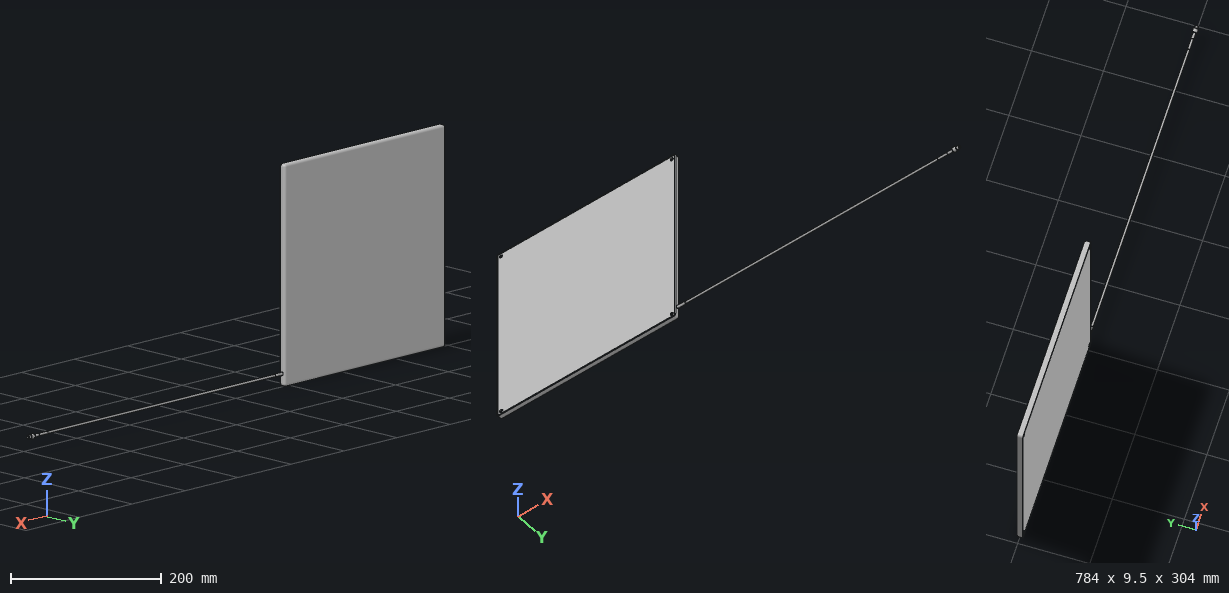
import cadquery as cq

total_length = 784.0
total_depth = 9.5
panel_side = 304.0
collar_overhang = 0.4
panel_thickness = total_depth - collar_overhang

corner_radius = 4.0
back_edge_radius = 3.85
rim_width = 1.95
rim_height = 0.2
screw_hole_inset = 7.0
screw_hole_diameter = 5.0
screw_hole_depth = 2.0

cable_underside = 16.0
cable_diameter = 4.0
cable_embed = 4.0
grommet_diameter = 5.0
grommet_length = 14.0

sleeve_diameter = 4.1
sleeve_start = 747.0
plug_neck_diameter = 5.0
plug_neck_start = 764.0
collar_diameter = 8.0
collar_start = 773.0
collar_length = 6.0
tip_diameter = 5.5
tip_chamfer = 1.0

cable_y = collar_diameter / 2 - collar_overhang
cable_z = cable_underside + cable_diameter / 2


def rod_on_cable(start_x, end_x, diameter):
    """Round rod running along X on the cable axis."""
    plane = cq.Plane(origin=(start_x, cable_y, cable_z), xDir=(0, 0, 1), normal=(1, 0, 0))
    return cq.Workplane(plane).circle(diameter / 2).extrude(end_x - start_x)


def make_panel():
    """Square plate with rounded back edges and a thin raised rim around its front face."""
    panel = cq.Workplane("XY").box(panel_side, panel_thickness, panel_side, centered=False)
    panel = panel.edges("|Y").fillet(corner_radius)
    panel = panel.faces(">Y").edges().fillet(back_edge_radius)

    middle = panel_side / 2
    recess_side = panel_side - 2 * rim_width
    front = cq.Workplane("XZ", origin=(middle, 0, middle))
    panel = panel.cut(front.rect(recess_side, recess_side).extrude(-rim_height))

    hole_spacing = panel_side - 2 * screw_hole_inset
    screw_holes = front.rect(hole_spacing, hole_spacing, forConstruction=True).vertices()
    return panel.cut(screw_holes.circle(screw_hole_diameter / 2).extrude(-screw_hole_depth))


def make_cable():
    """Cable with its grommet, entering the right side of the panel."""
    start = panel_side - cable_embed
    cable = rod_on_cable(start, plug_neck_start, cable_diameter)
    grommet = rod_on_cable(start, panel_side + grommet_length, grommet_diameter)
    return cable.union(grommet)


def make_plug():
    """Stepped round plug: sleeve, neck, collar and chamfered tip."""
    collar_end = collar_start + collar_length
    tip = rod_on_cable(collar_end, total_length, tip_diameter).faces(">X").chamfer(tip_chamfer)
    plug = rod_on_cable(sleeve_start, plug_neck_start, sleeve_diameter)
    plug = plug.union(rod_on_cable(plug_neck_start, collar_start, plug_neck_diameter))
    plug = plug.union(rod_on_cable(collar_start, collar_end, collar_diameter))
    return plug.union(tip)


result = make_panel().union(make_cable()).union(make_plug())